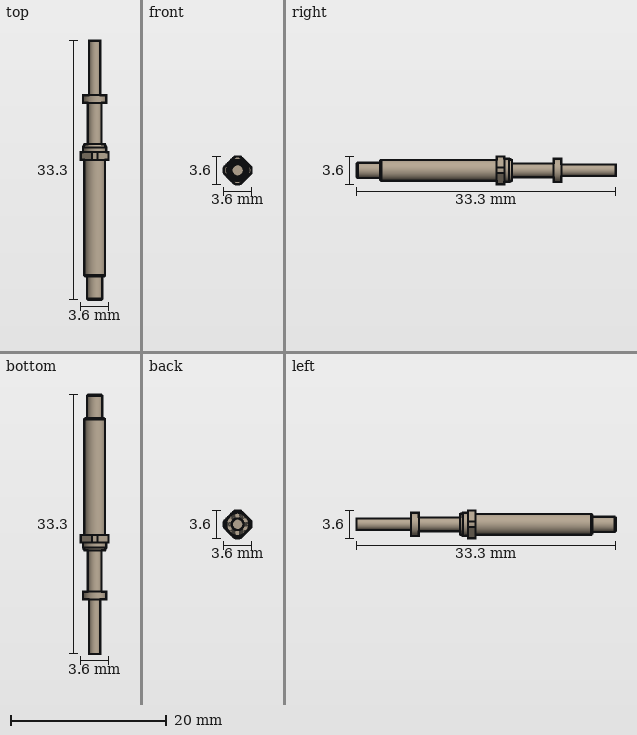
import cadquery as cq


TAIL_DIAMETER = 1.5
COLLAR_DIAMETER = 3.0
NECK_DIAMETER = 1.8
SHOULDER_DIAMETER = 3.0
FLANGE_DIAMETER = 3.6
BODY_DIAMETER = 2.7
TIP_DIAMETER = 2.0

TAIL_LENGTH = 7.0
COLLAR_LENGTH = 1.0
NECK_LENGTH = 5.3
SHOULDER_LENGTH = 1.0
FLANGE_LENGTH = 1.0
BODY_LENGTH = 15.0
TIP_LENGTH = 3.0

SHOULDER_TAPER_LENGTH = 0.4
SHOULDER_TAPER_DEPTH = 0.2
END_CHAMFER = 0.2

FLANGE_ACROSS_FLATS = 3.0
FLANGE_TURN_ANGLE = 45.0

FLANGE_TOP = FLANGE_LENGTH
SHOULDER_TOP = FLANGE_TOP + SHOULDER_LENGTH
NECK_TOP = SHOULDER_TOP + NECK_LENGTH
COLLAR_TOP = NECK_TOP + COLLAR_LENGTH


def cylinder(diameter, start, length):
    """Cylinder on the Y axis running from start towards +Y."""
    return cq.Workplane("XZ", origin=(0, start, 0)).circle(diameter / 2).extrude(-length)


def make_tip():
    """Thin -Y end with a chamfered rim."""
    tip = cylinder(TIP_DIAMETER, -BODY_LENGTH - TIP_LENGTH, TIP_LENGTH)
    return tip.faces("<Y").chamfer(END_CHAMFER)


def make_body():
    """Long barrel below the flange, chamfered at its -Y end."""
    body = cylinder(BODY_DIAMETER, -BODY_LENGTH, BODY_LENGTH)
    return body.faces("<Y").chamfer(END_CHAMFER)


def make_flange():
    """Square flange standing on its corner, with the corners turned round."""
    square = (
        cq.Workplane("XZ")
        .rect(FLANGE_ACROSS_FLATS, FLANGE_ACROSS_FLATS)
        .extrude(-FLANGE_LENGTH)
        .rotate((0, 0, 0), (0, 1, 0), FLANGE_TURN_ANGLE)
    )
    return square.intersect(cylinder(FLANGE_DIAMETER, 0, FLANGE_LENGTH))


def make_shoulder():
    """Round step above the flange, slightly tapered at its +Y end."""
    shoulder = cylinder(SHOULDER_DIAMETER, FLANGE_TOP, SHOULDER_LENGTH)
    return shoulder.faces(">Y").edges().chamfer(SHOULDER_TAPER_LENGTH, SHOULDER_TAPER_DEPTH)


result = (
    make_body()
    .union(make_tip())
    .union(make_flange())
    .union(make_shoulder())
    .union(cylinder(NECK_DIAMETER, SHOULDER_TOP, NECK_LENGTH))
    .union(cylinder(COLLAR_DIAMETER, NECK_TOP, COLLAR_LENGTH))
    .union(cylinder(TAIL_DIAMETER, COLLAR_TOP, TAIL_LENGTH))
)